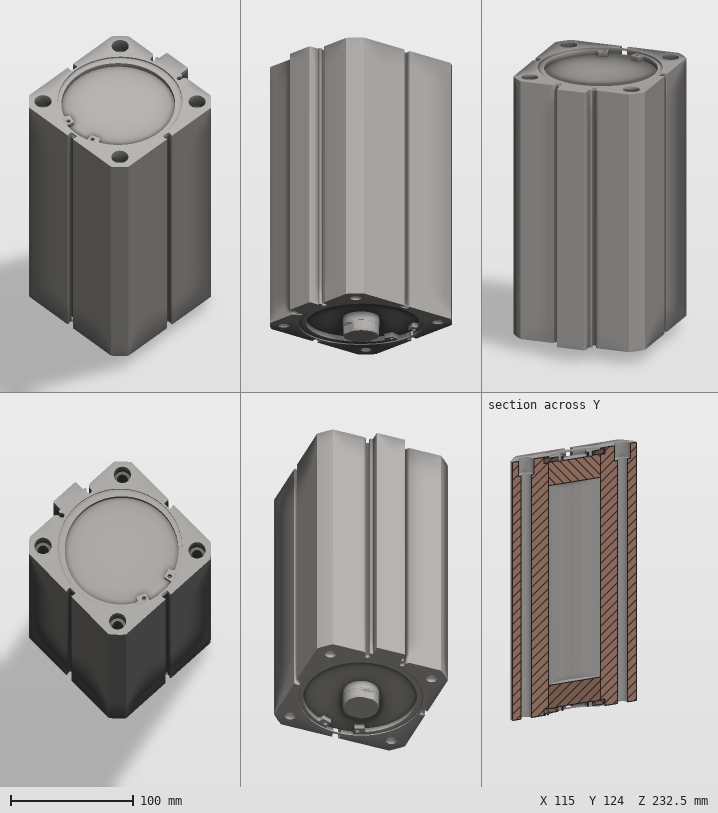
import cadquery as cq
import math

width = 115.0
half_width = width / 2
length = 222.0
corner_diameter = 149.0
bore_diameter = 102.0

rail_width = 25.0
rail_top = 66.5
rail_edge_radius = 0.8

sensor_x = 15.3
sensor_y = 53.0
sensor_radius = 2.0
sensor_flank_radius = 3.8
lip_edge_radius = 1.0
lip_offset = 0.4
lip_straight = 0.9
lip_root_angle = 60.0

slot_mouth = 5.2
slot_inside = 6.6
slot_depth = 4.8
slot_lip = 1.2
slot_chamfer = 0.5

bolt_spacing = 89.0
bolt_hole_diameter = 9.0
counterbore_diameter = 14.0
counterbore_depth = 13.0

ring_setback = 1.5
ring_thickness = 4.0
ring_outer_radius = 53.0
ring_inner_radius = 46.5
ring_inner_offset = 2.0
lug_inner_radius = 43.4
lug_start_angle = 13.7
lug_end_angle = 24.5
lug_fillet = 2.0
lug_corner_radius = 1.0
lug_hole_angle = 17.5
lug_hole_radius = 47.0
lug_hole_diameter = 3.5
ring_turn = -1.0
lower_groove_clearance = 0.6

lower_ring_bottom = ring_setback
upper_ring_bottom = length - ring_setback - ring_thickness

cover_setback = ring_setback + ring_thickness
cover_thickness = 20.0

rod_diameter = 30.0
rod_projection = 10.5
rod_tip_diameter = 29.5
rod_shoulder = 1.6
rod_flats = 27.0
flat_top = 3.5
flat_runout = 1.5
tip_chamfer_width = 0.45
tip_chamfer_height = 1.5


def polar(radius, angle_from_front, side):
    """Point at an angle from -Y, turned towards +X for side 1 and -X for side -1."""
    angle = math.radians(angle_from_front)
    return side * radius * math.sin(angle), -radius * math.cos(angle)


def sensor_groove(side):
    flank_x = sensor_x + sensor_radius
    lip_x = sensor_x - lip_offset
    lip_start_y = half_width - lip_edge_radius
    flank_end_y = half_width - sensor_flank_radius
    diagonal = math.sqrt(0.5)
    root = math.radians(lip_root_angle)
    profile = (
        cq.Workplane("XY")
        .moveTo(flank_x + sensor_flank_radius, half_width)
        .threePointArc(
            (flank_x + sensor_flank_radius * (1 - diagonal),
             flank_end_y + sensor_flank_radius * diagonal),
            (flank_x, flank_end_y),
        )
        .lineTo(flank_x, sensor_y)
        .threePointArc(
            (sensor_x, sensor_y - sensor_radius),
            (sensor_x - sensor_radius * math.cos(root), sensor_y + sensor_radius * math.sin(root)),
        )
        .lineTo(lip_x, lip_start_y - lip_straight)
        .lineTo(lip_x, lip_start_y)
        .threePointArc(
            (lip_x - lip_edge_radius * (1 - diagonal), lip_start_y + lip_edge_radius * diagonal),
            (lip_x - lip_edge_radius, half_width),
        )
        .close()
    )
    groove = profile.extrude(length)
    return groove if side > 0 else groove.mirror("YZ")


def face_slot(angle):
    """Undercut slot in the -Y face, turned about Z to another face."""
    floor = slot_depth - half_width
    right_side = [
        (slot_mouth / 2 + slot_chamfer, -half_width),
        (slot_mouth / 2, slot_chamfer - half_width),
        (slot_mouth / 2, slot_lip - half_width),
        (slot_inside / 2, slot_lip - half_width),
        (slot_inside / 2, floor),
    ]
    left_side = [(-x, y) for x, y in reversed(right_side)]
    slot = cq.Workplane("XY").polyline(right_side + left_side).close().extrude(length)
    return slot.rotate((0, 0, 0), (0, 0, 1), angle)


def ring_groove(bottom, height):
    return cq.Workplane("XY").workplane(offset=bottom).circle(ring_outer_radius).extrude(height)


def make_housing():
    body = cq.Workplane("XY").rect(width, width).extrude(length)
    body = body.intersect(cq.Workplane("XY").circle(corner_diameter / 2).extrude(length))

    rail = (
        cq.Workplane("XY")
        .center(0, rail_top / 2)
        .rect(rail_width, rail_top)
        .extrude(length)
        .edges("|Z and >Y")
        .fillet(rail_edge_radius)
    )
    body = body.union(rail)
    body = body.cut(cq.Workplane("XY").circle(bore_diameter / 2).extrude(length))

    for side in (-1, 1):
        body = body.cut(sensor_groove(side))
    for angle in (-90, 0, 90):
        body = body.cut(face_slot(angle))
    lower_groove_bottom = lower_ring_bottom - lower_groove_clearance
    body = body.cut(ring_groove(lower_groove_bottom, ring_thickness + lower_groove_clearance))
    body = body.cut(ring_groove(upper_ring_bottom, ring_thickness))

    return (
        body.faces(">Z")
        .workplane(origin=(0, 0, length))
        .rect(bolt_spacing, bolt_spacing, forConstruction=True)
        .vertices()
        .cboreHole(bolt_hole_diameter, counterbore_diameter, counterbore_depth)
    )


def ring_sector(inner_radius, start_angle, end_angle, side):
    middle_angle = (start_angle + end_angle) / 2
    return (
        cq.Workplane("XY")
        .moveTo(*polar(inner_radius, start_angle, side))
        .lineTo(*polar(ring_outer_radius, start_angle, side))
        .threePointArc(
            polar(ring_outer_radius, middle_angle, side),
            polar(ring_outer_radius, end_angle, side),
        )
        .lineTo(*polar(inner_radius, end_angle, side))
        .close()
        .extrude(ring_thickness)
    )


def make_retaining_ring(bottom):
    ring = cq.Workplane("XY").circle(ring_outer_radius).extrude(ring_thickness)
    opening = (
        cq.Workplane("XY")
        .center(0, -ring_inner_offset)
        .circle(ring_inner_radius)
        .extrude(ring_thickness)
    )
    gap_reach = 2 * ring_outer_radius
    gap = (
        cq.Workplane("XY")
        .polyline([(0, 0), polar(gap_reach, lug_start_angle, -1), polar(gap_reach, lug_start_angle, 1)])
        .close()
        .extrude(ring_thickness)
    )
    ring = ring.cut(opening).cut(gap)

    for side in (-1, 1):
        ring = ring.union(ring_sector(lug_inner_radius, lug_start_angle, lug_end_angle, side))

    drop = ring_inner_offset * math.cos(math.radians(lug_end_angle))
    across = ring_inner_offset * math.sin(math.radians(lug_end_angle))
    corner_radius = drop + math.sqrt(ring_inner_radius ** 2 - across ** 2)
    for side in (-1, 1):
        for radius, fillet in ((corner_radius, lug_fillet), (lug_inner_radius, lug_corner_radius)):
            corner = polar(radius, lug_end_angle, side)
            edge = cq.selectors.NearestToPointSelector((*corner, ring_thickness / 2))
            ring = ring.edges("|Z").edges(edge).fillet(fillet)

    hole_points = [polar(lug_hole_radius, lug_hole_angle, side) for side in (-1, 1)]
    holes = cq.Workplane("XY").pushPoints(hole_points).circle(lug_hole_diameter / 2).extrude(ring_thickness)
    ring = ring.cut(holes).rotate((0, 0, 0), (0, 0, 1), ring_turn)
    return ring.translate((0, 0, bottom))


def make_head_cover():
    bottom = length - cover_setback - cover_thickness
    return cq.Workplane("XY").workplane(offset=bottom).circle(bore_diameter / 2).extrude(cover_thickness)


def make_rod_cover():
    return (
        cq.Workplane("XY")
        .workplane(offset=cover_setback)
        .circle(bore_diameter / 2)
        .circle(rod_diameter / 2)
        .extrude(cover_thickness)
    )


def make_piston_rod():
    rod_top = length - cover_setback - cover_thickness
    tip_radius = rod_tip_diameter / 2
    rod = (
        cq.Workplane("XZ")
        .polyline([
            (0, rod_top),
            (rod_diameter / 2, rod_top),
            (rod_diameter / 2, -rod_shoulder),
            (tip_radius, -rod_shoulder),
            (tip_radius, tip_chamfer_height - rod_projection),
            (tip_radius - tip_chamfer_width, -rod_projection),
            (0, -rod_projection),
        ])
        .close()
        .revolve(360, (0, 0, 0), (0, 1, 0))
    )

    flat_y = rod_flats / 2
    for side in (-1, 1):
        flat_cut = (
            cq.Workplane("YZ")
            .polyline([
                (side * flat_y, -rod_projection),
                (side * flat_y, -flat_top),
                (side * (flat_y + flat_runout), flat_runout - flat_top),
                (side * (flat_y + flat_runout), -rod_projection),
            ])
            .close()
            .extrude(rod_diameter / 2, both=True)
        )
        rod = rod.cut(flat_cut)
    return rod


housing = make_housing()
retaining_rings = [make_retaining_ring(bottom) for bottom in (lower_ring_bottom, upper_ring_bottom)]
head_cover = make_head_cover()
rod_cover = make_rod_cover()
piston_rod = make_piston_rod()

result = cq.Compound.makeCompound([
    housing.val(),
    *[ring.val() for ring in retaining_rings],
    head_cover.val(),
    rod_cover.val(),
    piston_rod.val(),
])